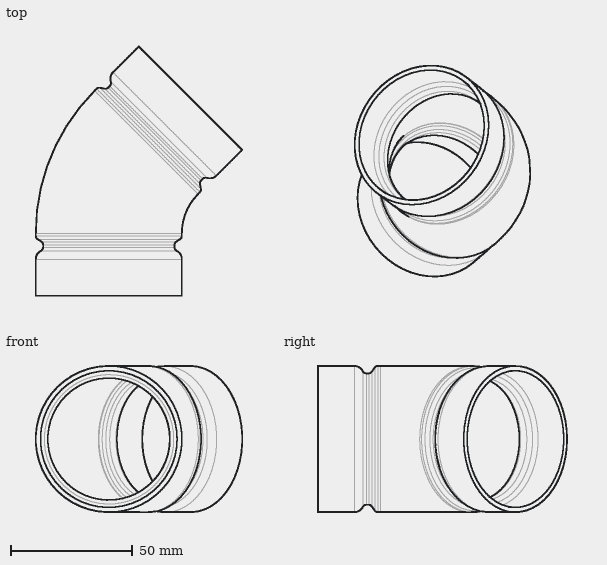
import cadquery as cq
import math


overall_length = 102.8
bend_angle = 45.0
outer_radius = 60.4 / 2
bore_radius = 56.4 / 2
leg_length = 25.8

bend = math.radians(bend_angle)
corner_to_mouth = (overall_length - outer_radius * math.sin(bend)) / (1 + math.cos(bend))
bend_radius = (corner_to_mouth - leg_length) / math.tan(bend / 2)

groove_radius = 54.3 / 2
bead_radius = 50.3 / 2
shoulder_start = 15.1

groove_floor_start = 20.1
groove_floor_end = 21.0
groove_end = 24.7
mouth_shoulder_round = 3.8
groove_round = 1.5

bead_floor_start = 18.6
bead_floor_end = 22.2
bead_end = 25.4
bead_mouth_round = 1.8
bead_floor_round = 1.5
bead_end_round = 1.2


def add_rounded_step(profile, start, end, first_round, second_round=None):
    """Join two axial lines by an arc, a sloping line and an opposite arc, all tangent.

    Points are (radius, axial position). Without second_round, the second arc is
    sized so that the two arcs meet directly.
    """
    run = abs(end[1] - start[1])
    rise = abs(end[0] - start[0])
    radial = math.copysign(1, end[0] - start[0])
    axial = math.copysign(1, end[1] - start[1])
    arcs_only = second_round is None
    if arcs_only:
        second_round = (run ** 2 + rise ** 2) / (2 * rise) - first_round
        slope = 2 * math.atan2(rise, run)
    else:
        rounds = first_round + second_round
        slope_length = math.sqrt(run ** 2 + rise ** 2 - 2 * rise * rounds)
        slope = math.atan2(rise - rounds, run) + math.atan2(rounds, slope_length)

    def first_arc(turn):
        return (start[0] + radial * first_round * (1 - math.cos(turn)),
                start[1] + axial * first_round * math.sin(turn))

    def second_arc(turn):
        return (end[0] - radial * second_round * (1 - math.cos(turn)),
                end[1] - axial * second_round * math.sin(turn))

    profile = profile.threePointArc(first_arc(slope / 2), first_arc(slope))
    if not arcs_only:
        profile = profile.lineTo(*second_arc(slope))
    return profile.threePointArc(second_arc(slope / 2), end)


def make_leg():
    """Straight grooved leg on the Y axis, mouth at -Y."""
    wall = cq.Workplane("XY", origin=(0, -corner_to_mouth, 0)).moveTo(outer_radius, 0)

    wall = wall.lineTo(outer_radius, shoulder_start)
    wall = add_rounded_step(wall, (outer_radius, shoulder_start),
                            (groove_radius, groove_floor_start), mouth_shoulder_round)
    wall = wall.lineTo(groove_radius, groove_floor_end)
    wall = add_rounded_step(wall, (groove_radius, groove_floor_end),
                            (outer_radius, groove_end), groove_round, groove_round)
    wall = wall.lineTo(outer_radius, leg_length).lineTo(bore_radius, leg_length)

    wall = wall.lineTo(bore_radius, bead_end)
    wall = add_rounded_step(wall, (bore_radius, bead_end),
                            (bead_radius, bead_floor_end), bead_end_round, bead_floor_round)
    wall = wall.lineTo(bead_radius, bead_floor_start)
    wall = add_rounded_step(wall, (bead_radius, bead_floor_start),
                            (bore_radius, shoulder_start), bead_mouth_round)
    wall = wall.lineTo(bore_radius, 0).close()
    return wall.revolve(360, (0, 0, 0), (0, 1, 0))


def make_bend():
    """Curved pipe that starts at the inner end of the first leg and turns toward +X."""
    return (cq.Workplane("XZ", origin=(0, leg_length - corner_to_mouth, 0))
            .circle(outer_radius)
            .circle(bore_radius)
            .revolve(bend_angle, (bend_radius, 1, 0), (bend_radius, 0, 0)))


first_leg = make_leg()
second_leg = first_leg.rotate((0, 0, 0), (0, 0, 1), 180 - bend_angle)

result = make_bend().union(first_leg).union(second_leg)